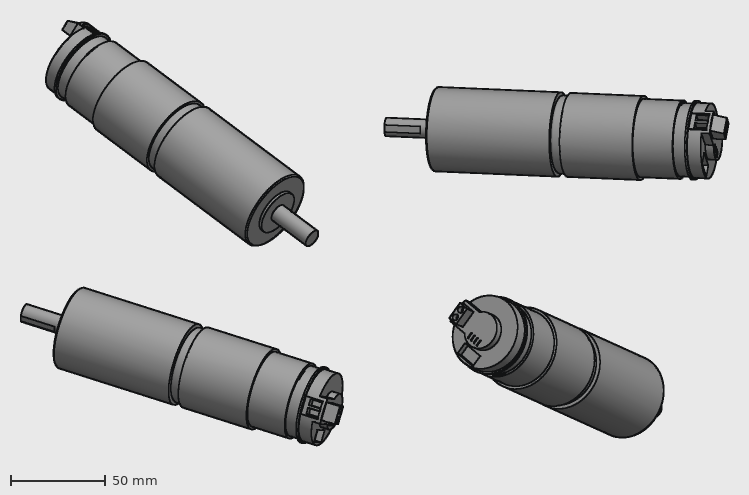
import cadquery as cq
import math


total_length = 188.3
gearhead_start = 93.8
gearhead_end = 161.4
pilot_end = 163.0
gearhead_diameter = 45.0
gearhead_chamfer = 0.8
pilot_diameter = 25.0
shaft_diameter = 10.0
shaft_flat_start = 168.5
shaft_flat_depth = 0.4

motor_rear = 26.7
sleeve_start = 48.4
sleeve_end = 88.1
motor_diameter = 41.8
sleeve_diameter = 44.8
motor_front_rounding = 1.7
tab_width = 7.5
tab_length = 0.5
tab_height = 0.5

pad_face = 7.0
cap_face = 11.5
flange_start = 18.8
flange_end = 20.0

clocking_angle = 42.0
cap_diameter = 40.1
flange_diameter = 42.2
neck_diameter = 39.2
hub_diameter = 20.0
arm_width = 14.0

block_width = 10.0
block_inner = 10.4
block_outer_rear = 16.2
block_outer_front = 18.6
terminal_pitch = 4.9
screw_radius_position = 13.4
screw_hole_diameter = 3.4
screw_hole_depth = 3.8
wire_recess_start = 8.9
wire_recess_floor = 18.8
wire_slot_end = 16.0
wire_slot_width = 3.4
wire_slot_depth = 4.7

contact_count = 4
contact_pitch = 2.5
contact_offset = -6.0
contact_width = 0.47
contact_length = 3.4
contact_depth = 1.9
recess_width = 12.6
recess_inner = -11.5
recess_outer = -18.3
recess_depth = 3.8


def clocked_plane(x):
    """Plane across the axis at x; its local x runs along the pad's arm."""
    angle = math.radians(clocking_angle)
    arm_direction = (0, math.cos(angle), math.sin(angle))
    return cq.Workplane(cq.Plane(origin=(x, 0, 0), xDir=arm_direction, normal=(1, 0, 0)))


def disc(diameter, start, end):
    return clocked_plane(start).circle(diameter / 2).extrude(end - start)


def block(x_range, along_range, across_range):
    """Box given by its ranges along the axis, along the arm and across the arm."""
    x_start, x_end = x_range
    return (
        clocked_plane(x_start)
        .moveTo(sum(along_range) / 2, sum(across_range) / 2)
        .rect(along_range[1] - along_range[0], across_range[1] - across_range[0])
        .extrude(x_end - x_start)
    )


def build_can():
    """Motor can with its wider sleeve and its rounded front edge."""
    motor_radius = motor_diameter / 2
    sleeve_radius = sleeve_diameter / 2
    rounding_start = gearhead_start - motor_front_rounding
    rounding_middle = motor_front_rounding * math.sqrt(0.5)
    rounding_centre_radius = motor_radius - motor_front_rounding
    return (
        cq.Workplane("XZ")
        .moveTo(motor_rear, 0)
        .lineTo(motor_rear, motor_radius)
        .lineTo(sleeve_start, motor_radius)
        .lineTo(sleeve_start, sleeve_radius)
        .lineTo(sleeve_end, sleeve_radius)
        .lineTo(sleeve_end, motor_radius)
        .lineTo(rounding_start, motor_radius)
        .threePointArc(
            (rounding_start + rounding_middle, rounding_centre_radius + rounding_middle),
            (gearhead_start, rounding_centre_radius),
        )
        .lineTo(gearhead_start, 0)
        .close()
        .revolve(360, (0, 0, 0), (1, 0, 0))
    )


def build_tabs():
    """Two small tabs on the can's rear face, above and below the end cap's neck."""
    ring_plane = cq.Workplane("YZ", origin=(motor_rear - tab_length, 0, 0))
    neck_radius = neck_diameter / 2
    ring = ring_plane.circle(neck_radius + tab_height).circle(neck_radius).extrude(tab_length)
    strip = ring_plane.rect(tab_width, motor_diameter).extrude(tab_length)
    return ring.intersect(strip)


def build_terminal_block():
    half_width = block_width / 2
    wedge = (
        cq.Workplane("XY")
        .moveTo(0, block_inner)
        .lineTo(0, block_outer_rear)
        .lineTo(pad_face, block_outer_front)
        .lineTo(pad_face, block_inner)
        .close()
        .extrude(half_width, both=True)
        .rotate((0, 0, 0), (1, 0, 0), clocking_angle)
    )
    screw_holes = (
        clocked_plane(0)
        .pushPoints([(screw_radius_position, side * terminal_pitch / 2) for side in (-1, 1)])
        .circle(screw_hole_diameter / 2)
        .extrude(screw_hole_depth)
    )
    return wedge.cut(screw_holes)


def cut_wire_entries(body):
    """Flat recess in the arm's outer end, with one deep slot per terminal."""
    cap_radius = cap_diameter / 2
    half_width = block_width / 2
    body = body.cut(
        block(
            (wire_recess_start, flange_start),
            (wire_recess_floor, cap_radius),
            (-half_width, half_width),
        )
    )
    for side in (-1, 1):
        middle = side * terminal_pitch / 2
        body = body.cut(
            block(
                (wire_recess_start, wire_slot_end),
                (wire_recess_floor - wire_slot_depth, cap_radius),
                (middle - wire_slot_width / 2, middle + wire_slot_width / 2),
            )
        )
    return body


def cut_contact_slots(body):
    for index in range(contact_count):
        along = (index - (contact_count - 1) / 2) * contact_pitch
        body = body.cut(
            block(
                (pad_face, pad_face + contact_depth),
                (along - contact_width / 2, along + contact_width / 2),
                (contact_offset - contact_length / 2, contact_offset + contact_length / 2),
            )
        )
    return body


def build_end_cap():
    arm = block(
        (pad_face, cap_face),
        (0, cap_diameter / 2),
        (-arm_width / 2, arm_width / 2),
    ).intersect(disc(cap_diameter, pad_face, cap_face))
    recess = block(
        (cap_face, cap_face + recess_depth),
        (-recess_width / 2, recess_width / 2),
        (recess_outer, recess_inner),
    )
    body = (
        disc(cap_diameter, cap_face, flange_start)
        .union(disc(flange_diameter, flange_start, flange_end))
        .union(disc(neck_diameter, flange_end, motor_rear))
        .union(disc(hub_diameter, pad_face, cap_face))
        .union(arm)
        .union(build_terminal_block())
        .cut(recess)
    )
    return cut_contact_slots(cut_wire_entries(body))


def build_motor():
    return build_can().union(build_tabs()).union(build_end_cap())


def build_gearhead():
    """Gearhead housing with its pilot boss and flatted output shaft."""
    gearhead_radius = gearhead_diameter / 2
    pilot_radius = pilot_diameter / 2
    shaft_radius = shaft_diameter / 2
    body = (
        cq.Workplane("XZ")
        .moveTo(gearhead_start, 0)
        .lineTo(gearhead_start, gearhead_radius)
        .lineTo(gearhead_end - gearhead_chamfer, gearhead_radius)
        .lineTo(gearhead_end, gearhead_radius - gearhead_chamfer)
        .lineTo(gearhead_end, pilot_radius)
        .lineTo(pilot_end, pilot_radius)
        .lineTo(pilot_end, shaft_radius)
        .lineTo(total_length, shaft_radius)
        .lineTo(total_length, 0)
        .close()
        .revolve(360, (0, 0, 0), (1, 0, 0))
    )
    return body.cut(shaft_flat_cutter())


def shaft_flat_cutter():
    """Block that takes a shallow flat off the +Y side of the shaft's free end."""
    flat_y = shaft_diameter / 2 - shaft_flat_depth
    flat_length = total_length - shaft_flat_start
    return (
        cq.Workplane("XY")
        .box(flat_length, shaft_flat_depth, shaft_diameter, centered=(False, False, True))
        .translate((shaft_flat_start, flat_y, 0))
    )


motor = build_motor()
gearhead = build_gearhead()

result = cq.Compound.makeCompound([motor.val(), gearhead.val()])